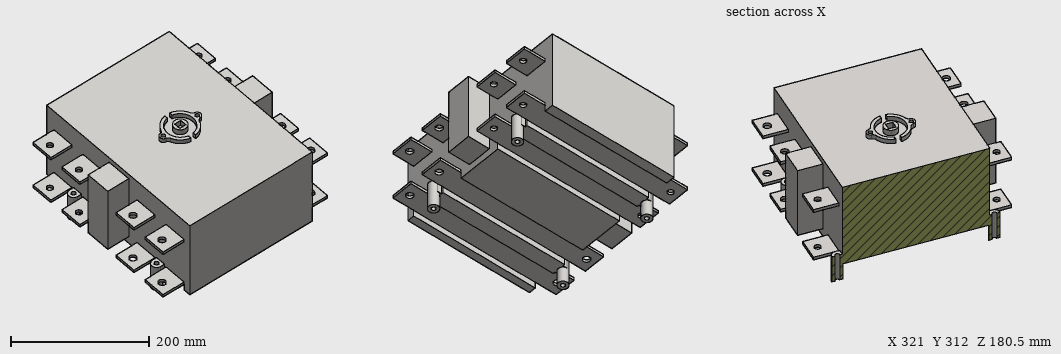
import cadquery as cq

HOUSING_X = 321.0
HOUSING_Y = 232.5
HOUSING_Z = 142.5
OVERALL_Y = 312.0
AXIS_X = 1.5

TERMINAL_WIDTH = 40.0
TERMINAL_THICKNESS = 5.0
TERMINAL_OUTER_X = 125.8
TERMINAL_INNER_X = 60.7
LOWER_TERMINAL_Z = 11.2
UPPER_TERMINAL_Z = 99.2
TERMINAL_HOLE_Y = 141.0
LEFT_HOLE_DIAMETER = 10.3
RIGHT_HOLE_DIAMETER = 12.2

BLOCK_WIDTH = 44.0
BLOCK_BOTTOM = 13.8
BLOCK_TOP = 133.5

POST_DIAMETER = 18.0
POST_HOLE_DIAMETER = 7.0
POST_X = 93.0
POST_Y = 123.5
POST_DROP = 28.0
EAR_HEIGHT = 19.3

COLLAR_RADIUS = 29.5
COLLAR_BORE_RADIUS = 24.0
COLLAR_HEIGHT = 7.7
COLLAR_GAP = 9.0
LUG_Y = 32.0
LUG_RADIUS = 6.5
LUG_FILLET = 6.5
LUG_HOLE_DIAMETER = 6.5
HUB_DIAMETER = 22.5
HUB_HEIGHT = 10.0
SOCKET_SIDE = 11.5

TERMINAL_HOLES = {
    AXIS_X - TERMINAL_OUTER_X: LEFT_HOLE_DIAMETER,
    AXIS_X - TERMINAL_INNER_X: LEFT_HOLE_DIAMETER,
    AXIS_X + TERMINAL_INNER_X: RIGHT_HOLE_DIAMETER,
    AXIS_X + TERMINAL_OUTER_X: RIGHT_HOLE_DIAMETER,
}


def upright_box(x, size_x, size_y, bottom, height):
    """Box centred on (x, 0) that rises from the given level."""
    return cq.Workplane("XY", origin=(x, 0, bottom)).rect(size_x, size_y).extrude(height)


def upright_cylinder(x, y, diameter, bottom, height):
    return cq.Workplane("XY", origin=(x, y, bottom)).circle(diameter / 2).extrude(height)


def make_housing():
    """Housing with its central block and a channel below each lower terminal."""
    housing = upright_box(0, HOUSING_X, HOUSING_Y, 0, HOUSING_Z)
    for x in TERMINAL_HOLES:
        housing = housing.cut(upright_box(x, TERMINAL_WIDTH, HOUSING_Y, 0, LOWER_TERMINAL_Z))
    block = upright_box(AXIS_X, BLOCK_WIDTH, OVERALL_Y, BLOCK_BOTTOM, BLOCK_TOP - BLOCK_BOTTOM)
    return housing.union(block)


def make_terminal(x, hole_diameter, bottom):
    """Flat bar with a bolt hole at each end."""
    bar = upright_box(x, TERMINAL_WIDTH, OVERALL_Y, bottom, TERMINAL_THICKNESS)
    for y in (-TERMINAL_HOLE_Y, TERMINAL_HOLE_Y):
        bar = bar.cut(upright_cylinder(x, y, hole_diameter, bottom, TERMINAL_THICKNESS))
    return bar


def add_post(body, x, side):
    """Round post under a U-shaped ear that joins the housing wall, drilled right through."""
    y = side * POST_Y
    height = POST_DROP + EAR_HEIGHT
    post = upright_cylinder(x, y, POST_DIAMETER, -POST_DROP, height)
    wall_y = side * HOUSING_Y / 2
    web = (
        cq.Workplane("XY", origin=(x, (y + wall_y) / 2, 0))
        .rect(POST_DIAMETER, abs(y - wall_y))
        .extrude(EAR_HEIGHT)
    )
    hole = upright_cylinder(x, y, POST_HOLE_DIAMETER, -POST_DROP, height)
    return body.union(post).union(web).cut(hole)


def make_collar():
    """Ring with two screw lugs blended into it, split by a gap along X."""
    collar = upright_cylinder(AXIS_X, 0, 2 * COLLAR_RADIUS, HOUSING_Z, COLLAR_HEIGHT)
    lug_places = (-LUG_Y, LUG_Y)
    for y in lug_places:
        collar = collar.union(upright_cylinder(AXIS_X, y, 2 * LUG_RADIUS, HOUSING_Z, COLLAR_HEIGHT))
    neck_zone = cq.selectors.BoxSelector(
        (AXIS_X - 2 * LUG_RADIUS, -LUG_Y, HOUSING_Z),
        (AXIS_X + 2 * LUG_RADIUS, LUG_Y, HOUSING_Z + COLLAR_HEIGHT),
    )
    collar = collar.edges(neck_zone).edges("|Z").fillet(LUG_FILLET)
    for y in lug_places:
        collar = collar.cut(upright_cylinder(AXIS_X, y, LUG_HOLE_DIAMETER, HOUSING_Z, COLLAR_HEIGHT))
    bore = upright_cylinder(AXIS_X, 0, 2 * COLLAR_BORE_RADIUS, HOUSING_Z, COLLAR_HEIGHT)
    gap = upright_box(AXIS_X, 2 * COLLAR_RADIUS, COLLAR_GAP, HOUSING_Z, COLLAR_HEIGHT)
    return collar.cut(bore).cut(gap)


def make_hub():
    hub = upright_cylinder(AXIS_X, 0, HUB_DIAMETER, HOUSING_Z, HUB_HEIGHT)
    return hub.cut(upright_box(AXIS_X, SOCKET_SIDE, SOCKET_SIDE, HOUSING_Z, HUB_HEIGHT))


result = make_housing()
for terminal_x, diameter in TERMINAL_HOLES.items():
    for level in (LOWER_TERMINAL_Z, UPPER_TERMINAL_Z):
        result = result.union(make_terminal(terminal_x, diameter, level))
for post_x in (AXIS_X - POST_X, AXIS_X + POST_X):
    for wall_side in (-1, 1):
        result = add_post(result, post_x, wall_side)
result = result.union(make_collar()).union(make_hub())